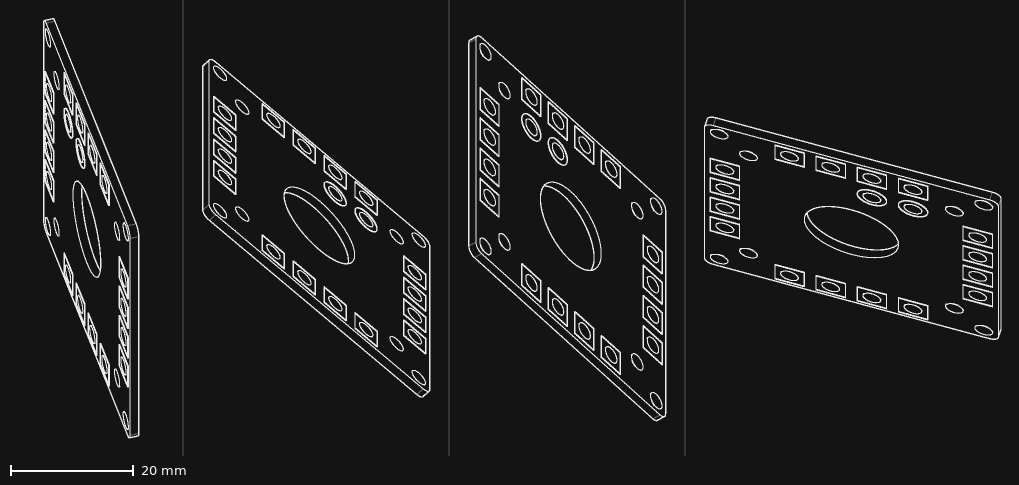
import cadquery as cq

plate_side = 50.0
total_thickness = 1.7
corner_radius = 1.5

pad_height = 0.1
board_thickness = total_thickness - 2 * pad_height
pad_size = 5.0
pad_pitch = 7.0
pads_per_side = 4
pad_edge_margin = 1.0
pad_row_offset = plate_side / 2 - pad_edge_margin - pad_size / 2

hole_diameter = 3.0
center_hole_diameter = 16.0
outer_hole_spacing = 45.0
inner_hole_spacing = 35.0

row_places = [(i - (pads_per_side - 1) / 2) * pad_pitch for i in range(pads_per_side)]

square_pad_centers = []
for place in row_places:
    for side in (-1, 1):
        square_pad_centers.append((place, side * pad_row_offset))
        square_pad_centers.append((side * pad_row_offset, place))

round_pad_centers = [(place, pad_row_offset - pad_pitch) for place in row_places[:2]]


def face_plane(y):
    """Sketch plane at depth y: local x is +X, local y is +Z, normal is -Y."""
    return cq.Workplane("XZ", origin=(0, y, 0))


def make_board():
    """Plain square board with rounded corners, centred on Y = 0."""
    board = face_plane(board_thickness / 2).rect(plate_side, plate_side).extrude(board_thickness)
    return board.edges("|Y").fillet(corner_radius)


def make_pads():
    """Square and round pads, running through the board and proud of both faces."""
    back = face_plane(total_thickness / 2)
    squares = back.pushPoints(square_pad_centers).rect(pad_size, pad_size).extrude(total_thickness)
    rounds = back.pushPoints(round_pad_centers).circle(pad_size / 2).extrude(total_thickness)
    return squares.union(rounds)


def make_holes():
    """Cutters for the centre opening, the mounting holes and the pad holes."""
    back = face_plane(total_thickness / 2)
    cutters = back.circle(center_hole_diameter / 2).extrude(total_thickness)
    pad_holes = back.pushPoints(square_pad_centers + round_pad_centers)
    cutters = cutters.union(pad_holes.circle(hole_diameter / 2).extrude(total_thickness))
    for spacing in (outer_hole_spacing, inner_hole_spacing):
        corners = back.rect(spacing, spacing, forConstruction=True).vertices()
        cutters = cutters.union(corners.circle(hole_diameter / 2).extrude(total_thickness))
    return cutters


result = make_board().union(make_pads()).cut(make_holes())